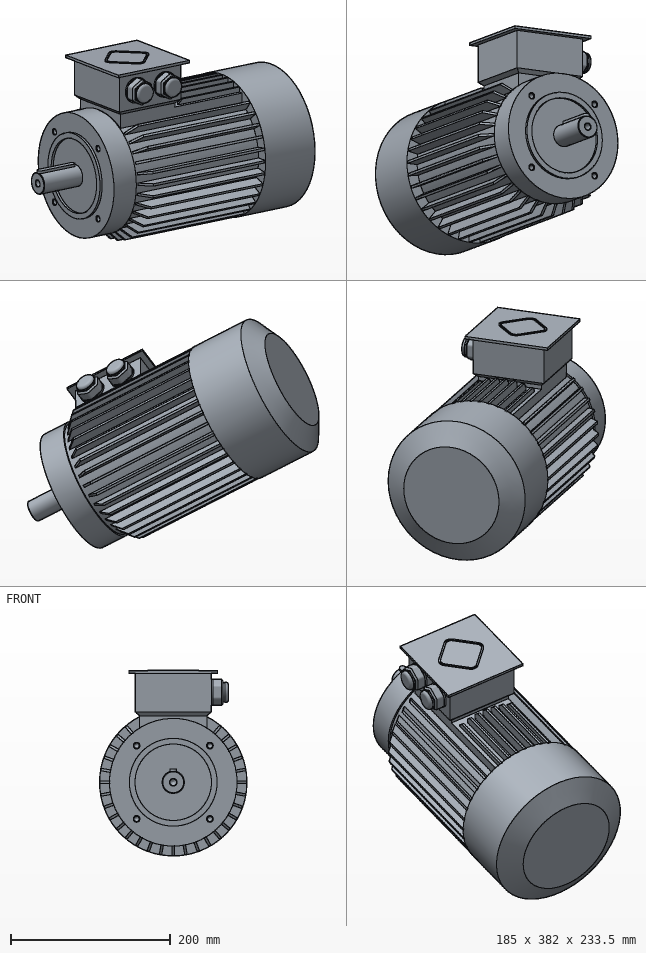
import cadquery as cq
import math


total_length = 382.0
shaft_tip_y = -60.0
spigot_tip_y = -3.5
flange_back_y = 34.8
fin_front_y = 39.0
cowl_front_y = 227.0
cowl_taper_y = 304.0
cowl_rear_y = shaft_tip_y + total_length

cowl_radius = 185.0 / 2
cowl_rear_radius = 64.0
flange_radius = 160.0 / 2
body_radius = 155.0 / 2
spigot_radius = 110.0 / 2
recess_radius = 96.0 / 2
recess_depth = 3.5

flange_hole_diameter = 6.5
flange_hole_mouth = 8.5
flange_hole_depth = 15.3
bolt_circle_radius = 65.0
bolt_count = 4
drill_point_angle = 118

shaft_radius = 28.0 / 2
shaft_chamfer = 0.8
center_hole_diameter = 8.5
center_hole_mouth = 9.5
center_hole_depth = 15.3
key_width = 8.0
key_top_z = 16.8
key_length = 57.3
key_bottom_z = 9.0

fin_radius = 91.5
fin_thickness = 3.0
fin_root_overlap = 4.0
fin_pitch_angle = 10
first_fin_angle = 130
last_fin_angle = 360 + 50
top_fin_pitch = 12.0
top_fin_count = 7
top_fin_front_y = 132.5
top_fin_chamfer = 5.5

box_center_y = 80.2
box_side = 95.5
lid_side = 111.0
pedestal_side = 84.8
pad_top_z = 78.0
pedestal_top_z = 83.3
box_bottom_z = 88.2
lid_bottom_z = 136.5
lid_top_z = 140.0

frame_center_y = 79.0
frame_side = 50.5
frame_corner_radius = 9.0
frame_width = 2.3
frame_height = 1.0

gland_spacing = 44.5
gland_z = 112.5
gland_washer_diameter = 33.0
gland_washer_length = 2.3
gland_nut_flats = 29.5
gland_nut_corner_radius = 4.0
gland_nut_length = 12.5
gland_nut_chamfer = 2.3
gland_neck_diameter = 24.5
gland_neck_length = 2.3
gland_cap_diameter = 26.0
gland_cap_length = 4.5
gland_cap_round = 4.2


def rod(radius, start_y, end_y):
    """Cylinder on the shaft axis between two positions along Y."""
    plane = cq.Workplane("XZ", origin=(0, start_y, 0))
    return plane.circle(radius).extrude(start_y - end_y)


def block(width, length, bottom_z, top_z):
    """Rectangular block centred on the terminal box axis."""
    plane = cq.Workplane("XY", origin=(0, box_center_y, bottom_z))
    return plane.rect(width, length).extrude(top_z - bottom_z)


def drilled_hole(x, z, face_y, diameter, depth, mouth_diameter):
    """Cutter for a hole going +Y from a face, with a bevelled mouth and a conical bottom."""
    radius = diameter / 2
    mouth_radius = mouth_diameter / 2
    bevel = mouth_radius - radius
    point = radius / math.tan(math.radians(drill_point_angle / 2))
    profile = [(0, 0), (mouth_radius, 0), (radius, bevel), (radius, depth), (0, depth + point)]
    cutter = cq.Workplane("XY").polyline(profile).close().revolve(360, (0, 0), (0, 1))
    return cutter.translate((x, face_y, z))


def make_body():
    """Cowl, finned barrel core, flange and spigot, turned about the shaft axis."""
    profile = [
        (0, spigot_tip_y),
        (spigot_radius, spigot_tip_y),
        (spigot_radius, 0),
        (flange_radius, 0),
        (flange_radius, flange_back_y),
        (body_radius, flange_back_y),
        (body_radius, cowl_front_y),
        (cowl_radius, cowl_front_y),
        (cowl_radius, cowl_taper_y),
        (cowl_rear_radius, cowl_rear_y),
        (0, cowl_rear_y),
    ]
    body = cq.Workplane("XY").polyline(profile).close().revolve(360, (0, 0), (0, 1))
    body = body.cut(rod(recess_radius, spigot_tip_y, spigot_tip_y + recess_depth))
    for index in range(bolt_count):
        angle = 2 * math.pi * (index + 0.5) / bolt_count
        x = bolt_circle_radius * math.cos(angle)
        z = bolt_circle_radius * math.sin(angle)
        hole = drilled_hole(x, z, 0, flange_hole_diameter, flange_hole_depth, flange_hole_mouth)
        body = body.cut(hole)
    return body


def make_shaft():
    """Shaft with a centre hole and a round-ended key on its top side."""
    shaft = rod(shaft_radius, shaft_tip_y, flange_back_y).faces("<Y").chamfer(shaft_chamfer)
    key_plane = cq.Workplane("XY", origin=(0, shaft_tip_y + key_length / 2, key_bottom_z))
    key = key_plane.slot2D(key_length, key_width, 90).extrude(key_top_z - key_bottom_z)
    hole = drilled_hole(0, 0, shaft_tip_y, center_hole_diameter, center_hole_depth, center_hole_mouth)
    return shaft.union(key).cut(hole)


def make_radial_fins():
    """Radial fins around the sides and bottom, sloping down to the barrel at the front."""
    root_radius = body_radius - fin_root_overlap
    slope = fin_radius - body_radius
    profile = [
        (root_radius, fin_front_y),
        (body_radius, fin_front_y),
        (fin_radius, fin_front_y + slope),
        (fin_radius, cowl_front_y),
        (root_radius, cowl_front_y),
    ]
    fin = cq.Workplane("XY").polyline(profile).close().extrude(fin_thickness / 2, both=True)
    fins = cq.Workplane("XY")
    for angle in range(first_fin_angle, last_fin_angle + 1, fin_pitch_angle):
        fins = fins.union(fin.rotate((0, 0, 0), (0, 1, 0), -angle))
    return fins


def make_top_pad():
    """Flat pad from the pedestal back to the cowl, carrying upright fins of stepped height."""
    front_y = box_center_y - pedestal_side / 2
    pad = cq.Workplane("XY", origin=(0, (front_y + cowl_front_y) / 2, 0))
    pad = pad.rect(pedestal_side, cowl_front_y - front_y).extrude(pad_top_z)
    for index in range(top_fin_count):
        x = (index - (top_fin_count - 1) / 2) * top_fin_pitch
        root_z = pad_top_z - fin_root_overlap
        top_z = math.sqrt(fin_radius**2 - x**2)
        profile = [
            (top_fin_front_y, root_z),
            (top_fin_front_y, top_z - top_fin_chamfer),
            (top_fin_front_y + top_fin_chamfer, top_z),
            (cowl_front_y, top_z),
            (cowl_front_y, root_z),
        ]
        plane = cq.Workplane("YZ", origin=(x, 0, 0))
        pad = pad.union(plane.polyline(profile).close().extrude(fin_thickness / 2, both=True))
    return pad


def make_terminal_box():
    """Pedestal, box with a bevelled underside, lid and raised frame."""
    bevel = (box_side - pedestal_side) / 2
    pedestal = block(pedestal_side, pedestal_side, 0, pedestal_top_z)
    box = block(box_side, box_side, pedestal_top_z, lid_bottom_z)
    box = box.faces("<Z").chamfer(box_bottom_z - pedestal_top_z, bevel)
    lid = block(lid_side, lid_side, lid_bottom_z, lid_top_z)

    frame_top_z = lid_top_z + frame_height
    inner_side = frame_side - 2 * frame_width
    frame = block(frame_side, frame_side, lid_top_z, frame_top_z)
    frame = frame.edges("|Z").fillet(frame_corner_radius)
    opening = block(inner_side, inner_side, lid_top_z, frame_top_z)
    opening = opening.edges("|Z").fillet(frame_corner_radius - frame_width)
    axis_start = (0, box_center_y, 0)
    axis_end = (0, box_center_y, 1)
    frame = frame.cut(opening).rotate(axis_start, axis_end, 45)
    frame = frame.translate((0, frame_center_y - box_center_y, 0))
    return pedestal.union(box).union(lid).union(frame)


def make_gland(y):
    """Cable gland pointing to +X: washer, hexagon nut, neck and domed cap."""
    nut_start_x = box_side / 2 + gland_washer_length
    neck_start_x = nut_start_x + gland_nut_length
    cap_start_x = neck_start_x + gland_neck_length
    washer = cq.Workplane("YZ", origin=(box_side / 2, y, gland_z))
    washer = washer.circle(gland_washer_diameter / 2).extrude(gland_washer_length)
    nut = cq.Workplane("YZ", origin=(nut_start_x, y, gland_z))
    nut = nut.polygon(6, gland_nut_flats, circumscribed=True).extrude(gland_nut_length)
    nut = nut.edges("|X").fillet(gland_nut_corner_radius)
    nut = nut.faces(">X").chamfer(gland_nut_chamfer)
    neck = cq.Workplane("YZ", origin=(neck_start_x, y, gland_z))
    neck = neck.circle(gland_neck_diameter / 2).extrude(gland_neck_length)
    cap = cq.Workplane("YZ", origin=(cap_start_x, y, gland_z))
    cap = cap.circle(gland_cap_diameter / 2).extrude(gland_cap_length)
    cap = cap.faces(">X").edges().fillet(gland_cap_round)
    return washer.union(nut).union(neck).union(cap)


result = make_body().union(make_shaft()).union(make_radial_fins())
result = result.union(make_top_pad()).union(make_terminal_box())
for side in (-1, 1):
    result = result.union(make_gland(box_center_y + side * gland_spacing / 2))